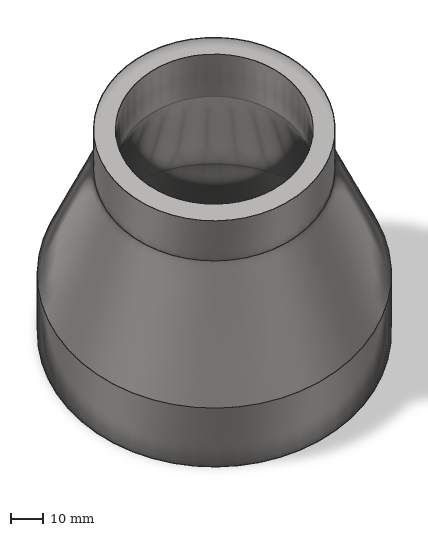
import cadquery as cq

wide_diameter = 110.0
narrow_diameter = 75.0
narrow_bore = 61.4
wall_ratio = wide_diameter / narrow_diameter
wide_bore = narrow_bore * wall_ratio

wide_length = 28.0
cone_length = 49.8
narrow_length = 19.1
narrow_bore_length = 20.1
total_height = wide_length + cone_length + narrow_length


def stepped_body(lower_diameter, upper_diameter, upper_length):
    """Solid of revolution: wide cylinder, cone, narrow cylinder."""
    profile = [
        (0, 0),
        (lower_diameter / 2, 0),
        (lower_diameter / 2, wide_length),
        (upper_diameter / 2, total_height - upper_length),
        (upper_diameter / 2, total_height),
        (0, total_height),
    ]
    return cq.Workplane("XZ").polyline(profile).close().revolve(360, (0, 0), (0, 1))


outside = stepped_body(wide_diameter, narrow_diameter, narrow_length)
passage = stepped_body(wide_bore, narrow_bore, narrow_bore_length)
result = outside.cut(passage)